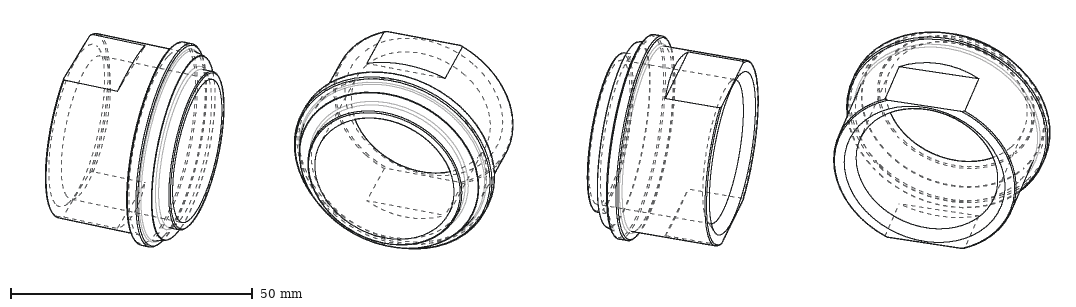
import cadquery as cq
import math

length = 26.5
flat_end = 12.0
collar_start = 18.55
collar_end = 21.0
taper_end = 23.48

mouth_chamfer = 2.0

body_radius = 39.0 / 2
collar_radius = 43 / 2
spigot_radius = 33.5 / 2
bore_radius = 30.27 / 2
mouth_radius = bore_radius + mouth_chamfer

flat_height = 17.55
flat_end_angle = 15

taper_angle = 15
end_chamfer = 0.25
collar_chamfer = 0.3
taper_edge_chamfer = 0.1
body_fillet = 0.45
taper_fillet = 0.3
spigot_fillet = 0.5

taper_slope = math.tan(math.radians(taper_angle))


def fillet_middle(center_x, center_r, radius, side):
    """Midpoint of a concave root arc; side is the X direction from its center to the wall."""
    offset = radius * math.sqrt(0.5)
    return center_x + side * offset, center_r - offset


def make_revolved_body():
    body_fillet_start = collar_start - body_fillet
    body_fillet_top = body_radius + body_fillet
    taper_start = collar_end + taper_fillet
    taper_start_radius = body_radius + taper_slope * (taper_end - taper_start)
    taper_fillet_top = taper_start_radius + taper_fillet
    taper_edge_start = taper_end - taper_edge_chamfer
    taper_edge_radius = body_radius + taper_slope * taper_edge_chamfer
    spigot_start = taper_end + spigot_fillet
    spigot_fillet_top = spigot_radius + spigot_fillet

    profile = (
        cq.Workplane("XY")
        .moveTo(0, mouth_radius)
        .lineTo(0, body_radius - end_chamfer)
        .lineTo(end_chamfer, body_radius)
        .lineTo(body_fillet_start, body_radius)
        .threePointArc(
            fillet_middle(body_fillet_start, body_fillet_top, body_fillet, 1),
            (collar_start, body_fillet_top),
        )
        .lineTo(collar_start, collar_radius - collar_chamfer)
        .lineTo(collar_start + collar_chamfer, collar_radius)
        .lineTo(collar_end - collar_chamfer, collar_radius)
        .lineTo(collar_end, collar_radius - collar_chamfer)
        .lineTo(collar_end, taper_fillet_top)
        .threePointArc(
            fillet_middle(taper_start, taper_fillet_top, taper_fillet, -1),
            (taper_start, taper_start_radius),
        )
        .lineTo(taper_edge_start, taper_edge_radius)
        .lineTo(taper_end, body_radius - taper_edge_chamfer)
        .lineTo(taper_end, spigot_fillet_top)
        .threePointArc(
            fillet_middle(spigot_start, spigot_fillet_top, spigot_fillet, -1),
            (spigot_start, spigot_radius),
        )
        .lineTo(length - end_chamfer, spigot_radius)
        .lineTo(length, spigot_radius - end_chamfer)
        .lineTo(length, bore_radius)
        .lineTo(mouth_chamfer, bore_radius)
        .close()
    )
    return profile.revolve(360, (0, 0, 0), (1, 0, 0))


def make_flat_cutter():
    """Block above the upper flat, with a sloped end that runs out of the body."""
    run_out = (collar_radius - flat_height) * math.tan(math.radians(flat_end_angle))
    return (
        cq.Workplane("XZ")
        .moveTo(0, flat_height)
        .lineTo(flat_end, flat_height)
        .lineTo(flat_end + run_out, collar_radius)
        .lineTo(0, collar_radius)
        .close()
        .extrude(collar_radius, both=True)
    )


upper_cutter = make_flat_cutter()
lower_cutter = upper_cutter.mirror("XY")
result = make_revolved_body().cut(upper_cutter).cut(lower_cutter)